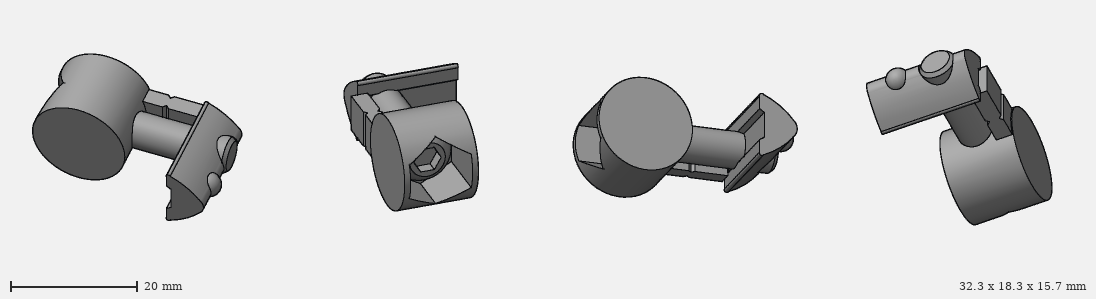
import cadquery as cq
import math


drum_diameter = 15.7
drum_length = 12.5
hex_pocket_flats = 10.45
tab_height = 6.2
tab_inner_y = 3.3
tab_outer_y = 6.07
notch_x = 11.08
notch_depth = 0.52

shank_diameter = 6.0
bolt_tip_x = 23.6
tip_diameter = 4.9
tip_chamfer_length = 0.65
shank_length = 21.7
head_diameter = 10.3
head_crown_diameter = 6.0
head_height = 3.3
socket_flats = 4.0
socket_depth = 2.0
seat_x = bolt_tip_x - shank_length

nut_face_x = 17.12
nut_nose_x = 23.45
nut_length = 17.0
nut_back_y = 4.97
groove_depth = 0.78
groove_mouth_half = 2.65
groove_floor_half = 2.1
lip_corner_z = 4.75
lip_peak_x = 17.45
lip_peak_z = 5.3
flank_start_x = 17.8
flank_start_z = 5.15
flank_middle_x = 20.45
flank_middle_z = 3.65
flank_end_x = 22.87
flank_end_z = 1.35
ball_diameter = 4.0
ball_tip_x = bolt_tip_x + 0.85
ball_y = -6.98


def x_cylinder(diameter, start_x, end_x):
    """Cylinder on the bolt axis."""
    return cq.Workplane("YZ", origin=(start_x, 0, 0)).circle(diameter / 2).extrude(end_x - start_x)


def x_hexagon(flats, start_x, end_x, turn):
    """Hexagonal prism on the bolt axis; at zero turn two corners point along Y."""
    corner_diameter = flats / math.cos(math.pi / 6)
    prism = cq.Workplane("YZ", origin=(start_x, 0, 0)).polygon(6, corner_diameter).extrude(end_x - start_x)
    return prism.rotate((0, 0, 0), (1, 0, 0), turn)


def make_tab():
    """Bar from the drum to the nut, weakened by a V notch on both sides."""
    outline = [
        (0, tab_inner_y),
        (notch_x - notch_depth, tab_inner_y),
        (notch_x, tab_inner_y + notch_depth),
        (notch_x + notch_depth, tab_inner_y),
        (nut_face_x, tab_inner_y),
        (nut_face_x, tab_outer_y),
        (notch_x + notch_depth, tab_outer_y),
        (notch_x, tab_outer_y - notch_depth),
        (notch_x - notch_depth, tab_outer_y),
        (0, tab_outer_y),
    ]
    return cq.Workplane("XY").polyline(outline).close().extrude(tab_height / 2, both=True)


def make_drum():
    drum = cq.Workplane("XZ").circle(drum_diameter / 2).extrude(drum_length / 2, both=True)
    drum = drum.union(make_tab())
    drum = drum.cut(x_hexagon(hex_pocket_flats, -drum_diameter, seat_x, 90))
    return drum.cut(x_cylinder(shank_diameter, seat_x, bolt_tip_x))


def make_bolt():
    crown_x = seat_x - head_height
    head_radius = head_diameter / 2
    crown_radius = head_crown_diameter / 2
    centre_offset = (head_radius**2 - crown_radius**2 - head_height**2) / (2 * head_height)
    dome_radius = math.hypot(head_radius, centre_offset)
    dome_middle_x = seat_x - head_height / 2
    dome_middle_radius = math.sqrt(dome_radius**2 - (centre_offset + head_height / 2) ** 2)
    shank_radius = shank_diameter / 2
    bolt = (
        cq.Workplane("XY")
        .moveTo(crown_x, 0)
        .lineTo(crown_x, crown_radius)
        .threePointArc((dome_middle_x, dome_middle_radius), (seat_x, head_radius))
        .lineTo(seat_x, shank_radius)
        .lineTo(bolt_tip_x - tip_chamfer_length, shank_radius)
        .lineTo(bolt_tip_x, tip_diameter / 2)
        .lineTo(bolt_tip_x, 0)
        .close()
        .revolve(360, (0, 0, 0), (1, 0, 0))
    )
    return bolt.cut(x_hexagon(socket_flats, crown_x, crown_x + socket_depth, 0))


def make_nut():
    groove_x = nut_face_x + groove_depth
    nut = (
        cq.Workplane("XZ", origin=(0, nut_back_y, 0))
        .moveTo(groove_x, -groove_floor_half)
        .lineTo(groove_x, groove_floor_half)
        .lineTo(nut_face_x, groove_mouth_half)
        .lineTo(nut_face_x, lip_corner_z)
        .threePointArc((lip_peak_x, lip_peak_z), (flank_start_x, flank_start_z))
        .threePointArc((flank_middle_x, flank_middle_z), (flank_end_x, flank_end_z))
        .threePointArc((nut_nose_x, 0), (flank_end_x, -flank_end_z))
        .threePointArc((flank_middle_x, -flank_middle_z), (flank_start_x, -flank_start_z))
        .threePointArc((lip_peak_x, -lip_peak_z), (nut_face_x, -lip_corner_z))
        .lineTo(nut_face_x, -groove_mouth_half)
        .close()
        .extrude(nut_length)
    )
    ball_radius = ball_diameter / 2
    ball = cq.Workplane("XY").sphere(ball_radius).translate((ball_tip_x - ball_radius, ball_y, 0))
    return nut.union(ball).cut(x_cylinder(shank_diameter, seat_x, bolt_tip_x))


drum = make_drum()
bolt = make_bolt()
nut = make_nut()
result = cq.Compound.makeCompound([drum.val(), bolt.val(), nut.val()])